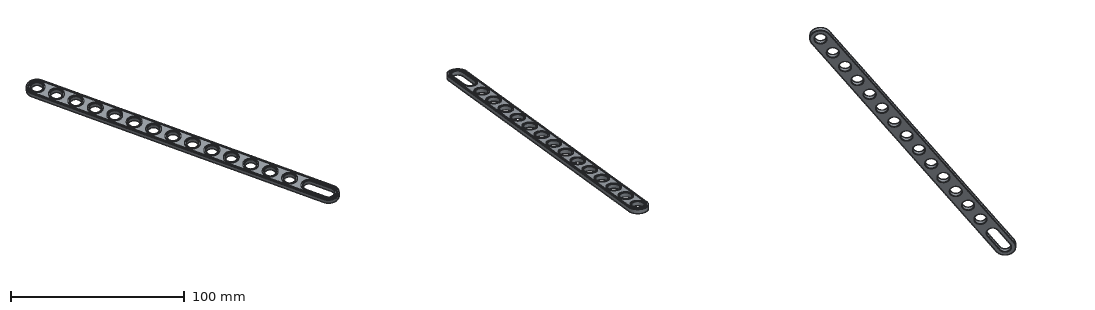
import cadquery as cq

length = 200.0
width = 12.5
thickness = width / 4

pitch = width
positions = round(length / pitch)
round_holes = positions - 2
hole_diameter = 7.0

collar_diameter = 9.2
rim_width = (collar_diameter - hole_diameter) / 2
recess_depth = 0.2

edge_bevel = 0.3

first_hole_x = -(length - pitch) / 2
hole_centres = [(first_hole_x + i * pitch, 0) for i in range(round_holes)]
slot_start_x = first_hole_x + round_holes * pitch
slot_centre_x = slot_start_x + pitch / 2


def end_slot(diameter, height):
    """Solid over the last two hole positions, with round ends of the given diameter."""
    return (
        cq.Workplane("XY")
        .center(slot_centre_x, 0)
        .slot2D(pitch + diameter, diameter)
        .extrude(height)
    )


def hole_row(diameter, height):
    """Cylinders at the round holes together with the elongated slot at the +X end."""
    cylinders = cq.Workplane("XY").pushPoints(hole_centres).circle(diameter / 2).extrude(height)
    return cylinders.union(end_slot(diameter, height))


def perforated_strip():
    """Flat strip with rounded ends, its openings cut through and both faces' edges bevelled."""
    strip = cq.Workplane("XY").slot2D(length, width).extrude(thickness)
    strip = strip.cut(hole_row(hole_diameter, thickness))
    return strip.faces("|Z").edges().chamfer(edge_bevel)


def top_recess():
    """Shallow pocket inside the rim, leaving the collars standing."""
    pocket = (
        cq.Workplane("XY")
        .slot2D(length - 2 * rim_width, width - 2 * rim_width)
        .extrude(thickness)
    )
    return pocket.cut(hole_row(collar_diameter, thickness)).translate((0, 0, thickness - recess_depth))


result = perforated_strip().cut(top_recess())